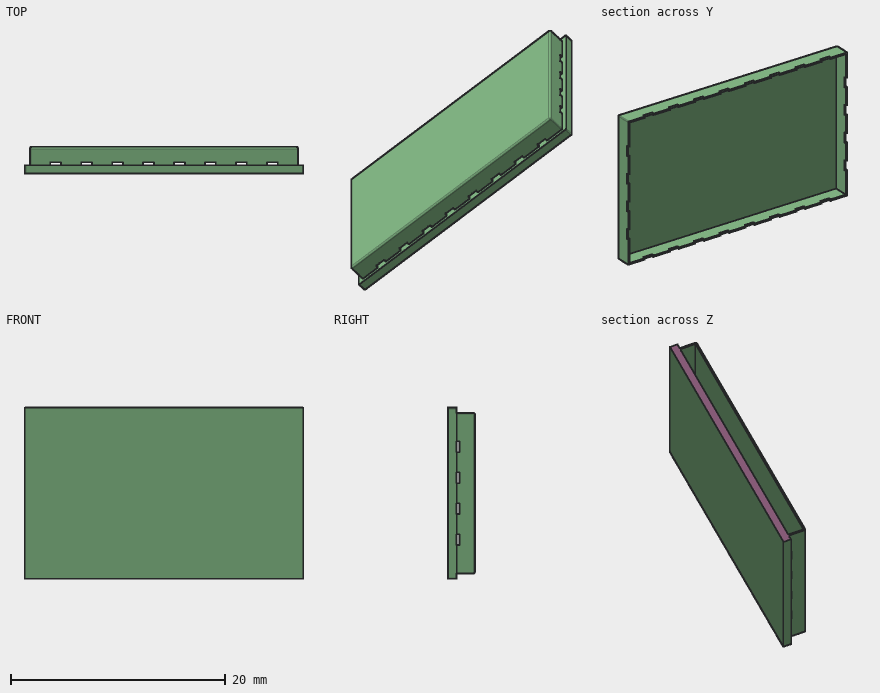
import cadquery as cq

BOARD_LENGTH = 26.0
BOARD_HEIGHT = 16.0
BOARD_THICKNESS = 0.8
BOARD_CORNER_RADIUS = 0.1

TOTAL_DEPTH = 2.52
CAN_INSET = 0.5
CAN_LENGTH = BOARD_LENGTH - 2 * CAN_INSET
CAN_HEIGHT = BOARD_HEIGHT - 2 * CAN_INSET
CAN_DEPTH = TOTAL_DEPTH - BOARD_THICKNESS
CAN_BEND_RADIUS = 0.18
CAN_CORNER_RADIUS = 0.08
CAN_WALL = 0.2

NOTCH_PITCH = 2.89
NOTCH_WIDTH = 1.0
NOTCH_DEPTH = 0.247
NOTCHES_ALONG_X = 8
NOTCHES_ALONG_Z = 4


def plate(length, height, y_start, depth):
    """Block centred on the Y axis, growing towards +Y from y_start."""
    return cq.Workplane("XY").box(length, depth, height).translate((0, y_start + depth / 2, 0))


def make_board():
    board = plate(BOARD_LENGTH, BOARD_HEIGHT, 0, BOARD_THICKNESS)
    return board.edges("|Y").fillet(BOARD_CORNER_RADIUS)


def notch_centres(count):
    """Evenly pitched positions, symmetric about zero."""
    return [(i - (count - 1) / 2) * NOTCH_PITCH for i in range(count)]


def make_can():
    can = plate(CAN_LENGTH, CAN_HEIGHT, BOARD_THICKNESS, CAN_DEPTH)
    can = can.edges("|Y").fillet(CAN_CORNER_RADIUS)
    can = can.faces(">Y").edges().fillet(CAN_BEND_RADIUS)
    cavity = plate(
        CAN_LENGTH - 2 * CAN_WALL,
        CAN_HEIGHT - 2 * CAN_WALL,
        BOARD_THICKNESS,
        CAN_DEPTH - CAN_WALL,
    )
    can = can.cut(cavity)
    for x in notch_centres(NOTCHES_ALONG_X):
        notch = plate(NOTCH_WIDTH, CAN_HEIGHT, BOARD_THICKNESS, NOTCH_DEPTH)
        can = can.cut(notch.translate((x, 0, 0)))
    for z in notch_centres(NOTCHES_ALONG_Z):
        notch = plate(CAN_LENGTH, NOTCH_WIDTH, BOARD_THICKNESS, NOTCH_DEPTH)
        can = can.cut(notch.translate((0, 0, z)))
    return can


result = make_board().union(make_can())